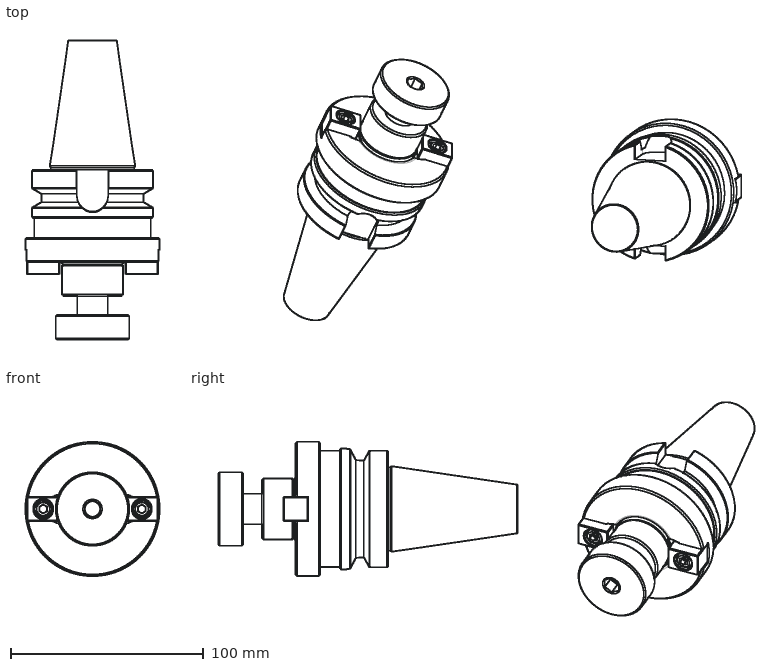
import cadquery as cq
import math


TAPER_RATIO = 7 / 24
GAUGE_R = 22.2
TAIL_Y = 65.3
TAIL_R = GAUGE_R - TAIL_Y * TAPER_RATIO / 2
TAIL_CHAMFER = 0.5
NECK_R = 21.8
NECK_CONE_END_Y = -1.0

FLANGE_BACK_Y = -2.0
FLANGE_FRONT_Y = -27.0
FLANGE_R = 63.0 / 2
FLANGE_CHAMFER = 0.8
FLANGE_BACK_CHAMFER_HEIGHT = 0.5
GROOVE_R = 53.0 / 2
GROOVE_Y = -16.6
GROOVE_FLOOR_WIDTH = 4.2
GROOVE_FLANK_TAN = math.tan(math.radians(30))
GROOVE_EDGE_BREAK = 0.5
GROOVE_MOUTH_WIDTH = GROOVE_FLOOR_WIDTH + 2 * (FLANGE_R - GROOVE_R) * GROOVE_FLANK_TAN

DRIVE_SLOT_WIDTH = 16.2
DRIVE_SLOT_FLOOR_Z = 22.5
DRIVE_SLOT_END_Y = -23.6
DRIVE_SLOT_CHAMFER = 0.5
DRIVE_SLOT_END_R = DRIVE_SLOT_WIDTH / 2
DRIVE_SLOT_ARC_Y = DRIVE_SLOT_END_Y + DRIVE_SLOT_END_R

BODY_R = 60.5 / 2
COLLAR_R = 69.8 / 2
COLLAR_BACK_Y = -37.2
FACE_Y = -50.1
COLLAR_CHAMFER = 1.0

SPIGOT_R = 15.9
SPIGOT_END_Y = -67.5
SPIGOT_CHAMFER = 1.0
UNDERCUT_R = 15.4
UNDERCUT_WIDTH = 1.7
UNDERCUT_FACE_R = 17.5
UNDERCUT_FACE_DEPTH = 0.2
UNDERCUT_BEVEL = 1.1

BOLT_SHANK_R = 8.0
BOLT_SHANK_DEPTH = 18.7
BOLT_HEAD_R = 19.1
BOLT_HEAD_BACK_Y = -77.3
BOLT_HEAD_FRONT_Y = -90.2
BOLT_HEAD_CHAMFER = 0.8
BOLT_SOCKET_FLATS = 8.0
BOLT_SOCKET_MOUTH_R = 5.0
BOLT_SOCKET_MOUTH_DEPTH = 0.6
BOLT_SOCKET_DEPTH = 7.8

KEY_INNER_X = 17.1
KEY_OUTER_X = 34.0
KEY_WIDTH = 12.6
KEY_BACK_Y = -43.5
KEY_FRONT_Y = -56.3
KEY_CHAMFER = 0.5
KEY_SLOT_RELIEF_R = 7.6
KEY_SLOT_RELIEF_X = 16.3
KEY_SLOT_RELIEF_DEPTH = 0.8

SCREW_X = (KEY_INNER_X + KEY_OUTER_X) / 2
SCREW_HEAD_R = 4.4
SCREW_HEAD_CHAMFER = 1.0
SCREW_HEAD_TOP_Y = -55.7
SCREW_HEAD_SEAT_Y = -49.8
SCREW_SHANK_R = 3.0
SCREW_SHANK_END_Y = -34.2
SCREW_SOCKET_FLATS = 4.0
SCREW_SOCKET_DEPTH = 3.0
COUNTERBORE_R = 4.8
COUNTERBORE_CHAMFER = 0.5

DRILL_POINT_ANGLE = 118.0
HEX_CORNER_ANGLES = [math.radians(60 * i) for i in range(6)]
SIDES = (-1, 1)


def turned(points):
    """Revolve a closed outline of (y, radius) points around the Y axis."""
    return cq.Workplane("YZ").polyline(points).close().revolve(360, (0, 0), (1, 0))


def rod(radius, start_y, end_y, x=0.0):
    """Cylinder parallel to Y from start_y forward (towards -Y) to end_y."""
    return cq.Workplane("XZ", origin=(x, start_y, 0)).circle(radius).extrude(start_y - end_y)


def hex_socket(flats, depth, mouth_y, x=0.0):
    """Hexagonal socket with a drill-point bottom, opening towards -Y at mouth_y."""
    flat_r = flats / 2
    corner_r = flat_r / math.cos(math.radians(30))
    point_length = flat_r / math.tan(math.radians(DRILL_POINT_ANGLE / 2))
    bottom_y = mouth_y + depth
    hexagon = [(corner_r * math.sin(a), corner_r * math.cos(a)) for a in HEX_CORNER_ANGLES]
    prism = cq.Workplane("XZ", origin=(0, bottom_y, 0)).polyline(hexagon).close().extrude(depth)
    point = turned([(bottom_y, 0), (bottom_y, flat_r), (bottom_y + point_length, 0)])
    return prism.union(point).translate((x, 0, 0))


def key_block(side):
    """Plain block of a drive key, without edge breaks or screw hole."""
    length = KEY_OUTER_X - KEY_INNER_X
    return (
        cq.Workplane("XY")
        .box(length, KEY_BACK_Y - KEY_FRONT_Y, KEY_WIDTH)
        .translate((side * SCREW_X, (KEY_BACK_Y + KEY_FRONT_Y) / 2, 0))
    )


def key_slot(side):
    """Slot through the collar rim for a key, with a shallow rounded widening at its inner end."""
    length = COLLAR_R - KEY_INNER_X
    depth = KEY_BACK_Y - FACE_Y
    slot = (
        cq.Workplane("XY")
        .box(length, depth, KEY_WIDTH)
        .translate((side * (KEY_INNER_X + length / 2), (KEY_BACK_Y + FACE_Y) / 2, 0))
    )
    relief = rod(KEY_SLOT_RELIEF_R, FACE_Y + KEY_SLOT_RELIEF_DEPTH, FACE_Y, side * KEY_SLOT_RELIEF_X)
    spigot_core = rod(SPIGOT_R, KEY_BACK_Y, FACE_Y)
    return slot.union(relief.cut(spigot_core))


def drive_slot(side):
    """Round-ended slot in the gripper flange, open towards the taper."""
    return (
        cq.Workplane("XY", origin=(0, 0, side * DRIVE_SLOT_FLOOR_Z))
        .moveTo(-DRIVE_SLOT_END_R, FLANGE_BACK_Y)
        .lineTo(-DRIVE_SLOT_END_R, DRIVE_SLOT_ARC_Y)
        .threePointArc((0, DRIVE_SLOT_END_Y), (DRIVE_SLOT_END_R, DRIVE_SLOT_ARC_Y))
        .lineTo(DRIVE_SLOT_END_R, FLANGE_BACK_Y)
        .close()
        .extrude(side * (FLANGE_R - DRIVE_SLOT_FLOOR_Z))
    )


def drive_slot_edge_break(side):
    """Bevels of a drive slot: along the outer wall edges, around the round end, at the open mouth."""
    inner_x = DRIVE_SLOT_END_R
    outer_x = DRIVE_SLOT_END_R + DRIVE_SLOT_CHAMFER
    wall_edge_z = math.sqrt(FLANGE_R**2 - inner_x**2)
    wall_bevels = (
        cq.Workplane("XZ", origin=(0, FLANGE_BACK_Y, 0))
        .moveTo(-inner_x, wall_edge_z - DRIVE_SLOT_CHAMFER)
        .lineTo(inner_x, wall_edge_z - DRIVE_SLOT_CHAMFER)
        .lineTo(outer_x, wall_edge_z)
        .lineTo(outer_x, FLANGE_R)
        .lineTo(-outer_x, FLANGE_R)
        .lineTo(-outer_x, wall_edge_z)
        .close()
        .extrude(FLANGE_BACK_Y - DRIVE_SLOT_ARC_Y)
    )
    cone_base = cq.Vector(0, DRIVE_SLOT_ARC_Y, FLANGE_R - DRIVE_SLOT_CHAMFER)
    end_bevel = cq.Workplane(
        cq.Solid.makeCone(inner_x, outer_x, DRIVE_SLOT_CHAMFER, cone_base, cq.Vector(0, 0, 1))
    )
    mouth_bevel = (
        cq.Workplane("XY", origin=(0, 0, DRIVE_SLOT_FLOOR_Z))
        .moveTo(-outer_x, FLANGE_BACK_Y)
        .lineTo(outer_x, FLANGE_BACK_Y)
        .lineTo(inner_x, FLANGE_BACK_Y - DRIVE_SLOT_CHAMFER)
        .lineTo(-inner_x, FLANGE_BACK_Y - DRIVE_SLOT_CHAMFER)
        .close()
        .extrude(FLANGE_R - DRIVE_SLOT_FLOOR_Z)
    )
    bevels = wall_bevels.union(end_bevel).union(mouth_bevel)
    return bevels if side > 0 else bevels.mirror("XY")


def make_holder():
    """Taper, gripper flange, collar and spigot, with the recesses for the other bodies."""
    undercut_floor_y = FACE_Y + UNDERCUT_FACE_DEPTH
    break_y = GROOVE_EDGE_BREAK / 2
    break_r = FLANGE_R - break_y / GROOVE_FLANK_TAN
    outline = [
        (TAIL_Y, 0),
        (TAIL_Y, TAIL_R - TAIL_CHAMFER),
        (TAIL_Y - TAIL_CHAMFER, TAIL_R),
        (0, GAUGE_R),
        (NECK_CONE_END_Y, NECK_R),
        (FLANGE_BACK_Y, NECK_R),
        (FLANGE_BACK_Y, FLANGE_R - FLANGE_BACK_CHAMFER_HEIGHT),
        (FLANGE_BACK_Y - FLANGE_CHAMFER, FLANGE_R),
        (GROOVE_Y + GROOVE_MOUTH_WIDTH / 2 + break_y, FLANGE_R),
        (GROOVE_Y + GROOVE_MOUTH_WIDTH / 2 - break_y, break_r),
        (GROOVE_Y + GROOVE_FLOOR_WIDTH / 2, GROOVE_R),
        (GROOVE_Y - GROOVE_FLOOR_WIDTH / 2, GROOVE_R),
        (GROOVE_Y - GROOVE_MOUTH_WIDTH / 2 + break_y, break_r),
        (GROOVE_Y - GROOVE_MOUTH_WIDTH / 2 - break_y, FLANGE_R),
        (FLANGE_FRONT_Y + FLANGE_CHAMFER, FLANGE_R),
        (FLANGE_FRONT_Y, FLANGE_R - FLANGE_CHAMFER),
        (FLANGE_FRONT_Y, BODY_R),
        (COLLAR_BACK_Y, BODY_R),
        (COLLAR_BACK_Y, COLLAR_R - COLLAR_CHAMFER),
        (COLLAR_BACK_Y - COLLAR_CHAMFER, COLLAR_R),
        (FACE_Y + COLLAR_CHAMFER, COLLAR_R),
        (FACE_Y, COLLAR_R - COLLAR_CHAMFER),
        (FACE_Y, UNDERCUT_FACE_R),
        (undercut_floor_y, UNDERCUT_R + UNDERCUT_BEVEL),
        (undercut_floor_y - UNDERCUT_BEVEL, UNDERCUT_R),
        (FACE_Y - UNDERCUT_WIDTH, UNDERCUT_R),
        (FACE_Y - UNDERCUT_WIDTH, SPIGOT_R),
        (SPIGOT_END_Y + SPIGOT_CHAMFER, SPIGOT_R),
        (SPIGOT_END_Y, SPIGOT_R - SPIGOT_CHAMFER),
        (SPIGOT_END_Y, 0),
    ]
    holder = turned(outline)
    holder = holder.cut(rod(BOLT_SHANK_R, SPIGOT_END_Y + BOLT_SHANK_DEPTH, SPIGOT_END_Y))
    for side in SIDES:
        holder = holder.cut(drive_slot(side)).cut(drive_slot_edge_break(side))
        holder = holder.cut(key_slot(side))
        holder = holder.cut(rod(SCREW_SHANK_R, SCREW_SHANK_END_Y, KEY_BACK_Y, side * SCREW_X))
    return holder


def make_key(side):
    """Drive key with broken edges and a counterbored screw hole."""
    key = key_block(side).edges().chamfer(KEY_CHAMFER)
    counterbore = turned([
        (SCREW_HEAD_SEAT_Y, 0),
        (SCREW_HEAD_SEAT_Y, COUNTERBORE_R),
        (KEY_FRONT_Y + COUNTERBORE_CHAMFER, COUNTERBORE_R),
        (KEY_FRONT_Y, COUNTERBORE_R + COUNTERBORE_CHAMFER),
        (KEY_FRONT_Y, 0),
    ])
    key = key.cut(counterbore.translate((side * SCREW_X, 0, 0)))
    return key.cut(rod(SCREW_SHANK_R, KEY_BACK_Y, SCREW_HEAD_SEAT_Y, side * SCREW_X))


def make_key_screw(side):
    """Socket-head screw that holds a key in its slot."""
    outline = [
        (SCREW_SHANK_END_Y, 0),
        (SCREW_SHANK_END_Y, SCREW_SHANK_R),
        (SCREW_HEAD_SEAT_Y, SCREW_SHANK_R),
        (SCREW_HEAD_SEAT_Y, SCREW_HEAD_R),
        (SCREW_HEAD_TOP_Y + SCREW_HEAD_CHAMFER, SCREW_HEAD_R),
        (SCREW_HEAD_TOP_Y, SCREW_HEAD_R - SCREW_HEAD_CHAMFER),
        (SCREW_HEAD_TOP_Y, 0),
    ]
    screw = turned(outline).translate((side * SCREW_X, 0, 0))
    return screw.cut(hex_socket(SCREW_SOCKET_FLATS, SCREW_SOCKET_DEPTH, SCREW_HEAD_TOP_Y, side * SCREW_X))


def make_clamping_bolt():
    """Bolt with a wide round head and a countersunk hexagonal socket."""
    shank_end_y = SPIGOT_END_Y + BOLT_SHANK_DEPTH
    outline = [
        (shank_end_y, 0),
        (shank_end_y, BOLT_SHANK_R),
        (BOLT_HEAD_BACK_Y, BOLT_SHANK_R),
        (BOLT_HEAD_BACK_Y, BOLT_HEAD_R - BOLT_HEAD_CHAMFER),
        (BOLT_HEAD_BACK_Y - BOLT_HEAD_CHAMFER, BOLT_HEAD_R),
        (BOLT_HEAD_FRONT_Y + BOLT_HEAD_CHAMFER, BOLT_HEAD_R),
        (BOLT_HEAD_FRONT_Y, BOLT_HEAD_R - BOLT_HEAD_CHAMFER),
        (BOLT_HEAD_FRONT_Y, 0),
    ]
    mouth_cone = turned([
        (BOLT_HEAD_FRONT_Y, 0),
        (BOLT_HEAD_FRONT_Y, BOLT_SOCKET_MOUTH_R),
        (BOLT_HEAD_FRONT_Y + BOLT_SOCKET_MOUTH_DEPTH, BOLT_SOCKET_FLATS / 2),
        (BOLT_HEAD_FRONT_Y + BOLT_SOCKET_MOUTH_DEPTH, 0),
    ])
    socket = hex_socket(BOLT_SOCKET_FLATS, BOLT_SOCKET_DEPTH, BOLT_HEAD_FRONT_Y)
    return turned(outline).cut(mouth_cone).cut(socket)


holder = make_holder()
keys = [make_key(side) for side in SIDES]
key_screws = [make_key_screw(side) for side in SIDES]
clamping_bolt = make_clamping_bolt()

bodies = [holder, *keys, *key_screws, clamping_bolt]
result = cq.Compound.makeCompound([body.val() for body in bodies])